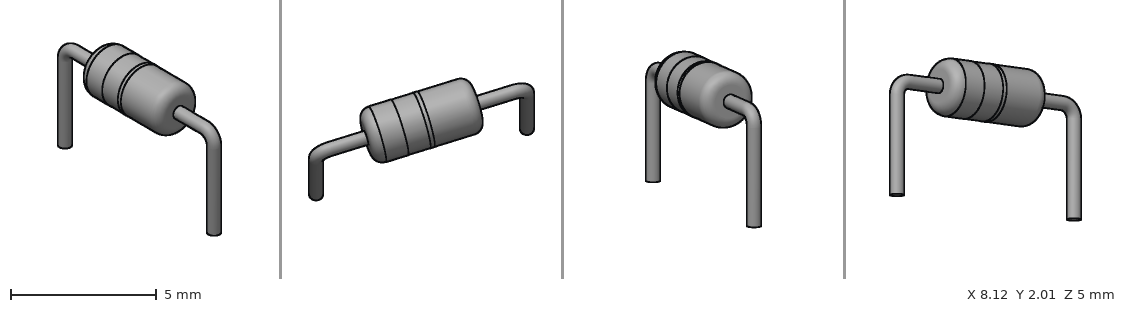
import cadquery as cq
import math


overall_length = 8.12
wire_diameter = 0.5
bend_radius = 0.5
lead_drop = 4.0
leg_offset = (overall_length - wire_diameter) / 2

body_length = 4.0
body_diameter = 2.0
body_edge_radius = 0.4
body_start = -body_length / 2

band_diameter = 2.01
wide_band_start = body_start + body_edge_radius
wide_band_width = 0.8
narrow_band_start = 0.0
narrow_band_width = 0.155


def cylinder_along_x(start, length, diameter):
    """Solid cylinder on the X axis, from x = start towards +X."""
    return cq.Workplane("YZ", origin=(start, 0, 0)).circle(diameter / 2).extrude(length)


def make_body():
    """Cylinder with rounded ends and a through hole for the wire."""
    blank = cylinder_along_x(body_start, body_length, body_diameter).edges().fillet(body_edge_radius)
    wire_hole = cylinder_along_x(body_start, body_length, wire_diameter)
    return blank.cut(wire_hole)


def make_band(start, width):
    """Thin ring around the body."""
    outside = cylinder_along_x(start, width, band_diameter)
    bore = cylinder_along_x(start, width, body_diameter)
    return outside.cut(bore)


def make_lead():
    """One wire that runs through the body and bends down at both ends."""
    bend_start = leg_offset - bend_radius
    arc_middle_x = bend_start + bend_radius * math.sin(math.pi / 4)
    arc_middle_z = bend_radius * math.cos(math.pi / 4) - bend_radius
    path = (
        cq.Workplane("XZ")
        .moveTo(-leg_offset, -lead_drop)
        .lineTo(-leg_offset, -bend_radius)
        .threePointArc((-arc_middle_x, arc_middle_z), (-bend_start, 0))
        .lineTo(bend_start, 0)
        .threePointArc((arc_middle_x, arc_middle_z), (leg_offset, -bend_radius))
        .lineTo(leg_offset, -lead_drop)
    )
    section = cq.Workplane("XY", origin=(-leg_offset, 0, -lead_drop)).circle(wire_diameter / 2)
    return section.sweep(path)


body = make_body()
lead = make_lead()
bands = [
    make_band(start, width)
    for start, width in (
        (wide_band_start, wide_band_width),
        (narrow_band_start, narrow_band_width),
    )
]

result = cq.Compound.makeCompound([body.val(), lead.val(), *[band.val() for band in bands]])